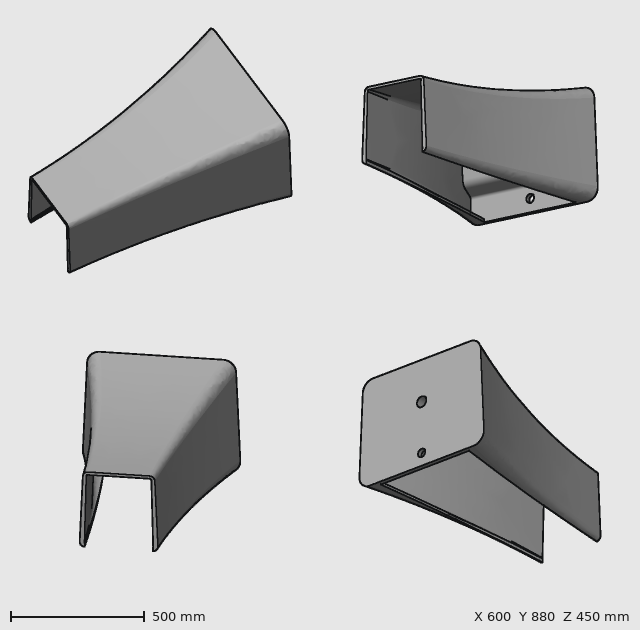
import math
import cadquery as cq

length = 880.0
mouth_height = 300.0
back_height = 450.0
mouth_half_width = 150.0
back_half_width = 302.35
flare_sag = 25.0
side_draft = 0.0455
mouth_edge_radius = 20.0
back_edge_radius = 50.0
section_count = 5
tolerance = 1e-6

roof_thickness = 11.5
base_wall_thickness = 19.0
inner_draft = 0.026
inner_radius_reduction = 13.0
lip_thickness = 11.5
cavity_overrun = 20.0

opening_inset = 1.0
opening_mouth_half_width = mouth_half_width - base_wall_thickness - opening_inset
opening_back_half_width = 215.0
opening_sag = 8.0
opening_top = 80.0

foot_thickness = 20.0
ledge_bottom = 96.0
ledge_root_radius = 12.0
ledge_rise = 17.0
nose_radius = 35.0
ledge_angle = math.radians(72)
apron_angle = math.radians(11)
apron_top = 238.0

drain_diameter = 35.0
drain_height = 54.5
inlet_diameter = 45.0
inlet_height = 271.5
collar_base_radius = 61.0
collar_base_height = 286.0
collar_tip_radius = 47.0
collar_tip_height = 280.0
collar_length = 20.0
collar_embed = 15.0


def flared(mouth_value, back_value, y, sag=flare_sag):
    """Value at depth y on a circular arc that bows below the straight flare."""
    rise = back_value - mouth_value
    chord = math.hypot(length, rise)
    radius = (chord ** 2 / 4 + sag ** 2) / (2 * sag)
    to_center = radius - sag
    center_y = length / 2 - to_center * rise / chord
    center_value = (mouth_value + back_value) / 2 + to_center * length / chord
    return center_value - math.sqrt(radius ** 2 - (y - center_y) ** 2)


def edge_radius(y):
    return mouth_edge_radius + (back_edge_radius - mouth_edge_radius) * y / length


def trapezoid(y, half_width, draft, bottom, top):
    """Symmetric trapezoid across the part; half_width is taken at z = 0."""
    bottom_half = half_width - draft * bottom
    top_half = half_width - draft * top
    corners = [(-bottom_half, bottom), (bottom_half, bottom), (top_half, top), (-top_half, top)]
    return cq.Wire.makePolygon([cq.Vector(x, y, z) for x, z in corners], close=True)


def round_corners(wire, radius, heights):
    corners = [v for v in wire.Vertices() if any(abs(v.Z - z) < tolerance for z in heights)]
    return wire.fillet2D(radius, corners)


def outer_section(y):
    top = flared(mouth_height, back_height, y)
    half_width = flared(mouth_half_width, back_half_width, y)
    wire = trapezoid(y, half_width, side_draft, 0, top)
    return round_corners(wire, edge_radius(y), (0, top))


def chamber_section(y):
    top = flared(mouth_height, back_height, y) - roof_thickness
    half_width = flared(mouth_half_width, back_half_width, y) - base_wall_thickness
    wire = trapezoid(y, half_width, inner_draft, lip_thickness, top)
    return round_corners(wire, edge_radius(y) - inner_radius_reduction, (lip_thickness, top))


def opening_section(y):
    half_width = flared(opening_mouth_half_width, opening_back_half_width, y, opening_sag)
    return trapezoid(y, half_width, inner_draft, -cavity_overrun, opening_top)


def loft_along_length(section):
    stations = [length * i / (section_count - 1) for i in range(section_count)]
    return cq.Workplane(obj=cq.Solid.makeLoft([section(y) for y in stations]))


def arc_point(center, radius, angle):
    """Point of a circle in the YZ plane; the angle tips down from -Y."""
    return (center[0] - radius * math.cos(angle), center[1] - radius * math.sin(angle))


foot_front = length - foot_thickness

root_center = (foot_front - ledge_root_radius, ledge_bottom)


def root_point(angle):
    return (
        root_center[0] + ledge_root_radius * math.cos(angle),
        root_center[1] + ledge_root_radius * math.sin(angle),
    )


ledge_back = root_point(ledge_angle)
ledge_front = (
    ledge_back[0] - ledge_rise * math.tan(ledge_angle),
    ledge_back[1] + ledge_rise,
)
nose_center = (
    ledge_front[0] + nose_radius * math.cos(ledge_angle),
    ledge_front[1] + nose_radius * math.sin(ledge_angle),
)
apron_foot = arc_point(nose_center, nose_radius, apron_angle)
upper_front = apron_foot[0] - (apron_top - apron_foot[1]) * math.tan(apron_angle)


def stepped_back():
    profile = (
        cq.Workplane("YZ")
        .moveTo(length, -cavity_overrun)
        .lineTo(foot_front, -cavity_overrun)
        .lineTo(foot_front, ledge_bottom)
        .threePointArc(root_point(ledge_angle / 2), ledge_back)
        .lineTo(*ledge_front)
        .threePointArc(
            arc_point(nose_center, nose_radius, (ledge_angle + apron_angle) / 2), apron_foot
        )
        .lineTo(upper_front, apron_top)
        .lineTo(upper_front, back_height)
        .lineTo(length, back_height)
        .close()
    )
    return profile.extrude(back_half_width, both=True)


def circle_across(y, z, radius):
    return cq.Wire.makeCircle(radius, cq.Vector(0, y, z), cq.Vector(0, 1, 0))


def cylinder_along_length(radius, start_y, depth, z):
    start = cq.Vector(0, start_y, z)
    return cq.Workplane(obj=cq.Solid.makeCylinder(radius, depth, start, cq.Vector(0, 1, 0)))


def collar():
    """Tapered collar around the inlet; its tip sits slightly lower than its base."""
    tip = circle_across(upper_front - collar_length, collar_tip_height, collar_tip_radius)
    base = circle_across(upper_front, collar_base_height, collar_base_radius)
    root = cylinder_along_length(collar_base_radius, upper_front, collar_embed, collar_base_height)
    return cq.Workplane(obj=cq.Solid.makeLoft([tip, base], True)).union(root)


def pipe_hole(diameter, height):
    return cylinder_along_length(diameter / 2, length / 2, length, height)


outer = loft_along_length(outer_section)
cavity = loft_along_length(chamber_section).union(loft_along_length(opening_section))
back = stepped_back().union(collar())
result = outer.cut(cavity.cut(back))
result = result.cut(pipe_hole(drain_diameter, drain_height))
result = result.cut(pipe_hole(inlet_diameter, inlet_height))